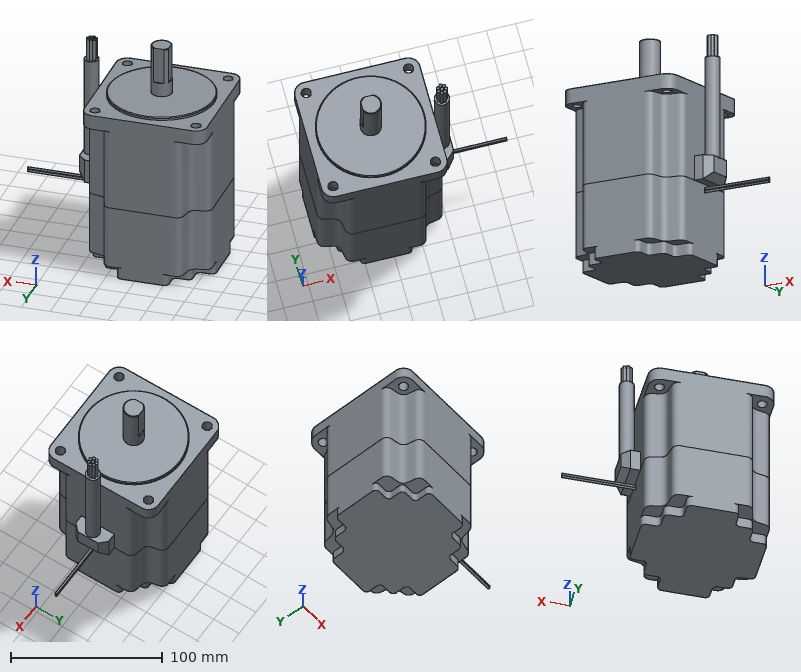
import cadquery as cq
import math

FRAME_WIDTH = 85.0
HALF_WIDTH = FRAME_WIDTH / 2
FLANGE_CORNER_RADIUS = 8.0

FOOT_TOP = 8.1
SEAM_HEIGHT = 51.8
FLANGE_BOTTOM = 108.4
FLANGE_TOP = 118.5
PILOT_TOP = 120.5
SHAFT_TOP = 155.5

HOLE_SPACING = 69.7
HOLE_DIAMETER = 6.5

NOTCH_MOUTH = 15.9
NOTCH_TILT = 11.0
NOTCH_OUTER_RADIUS = 5.0
NOTCH_INNER_RADIUS = 5.6

STEP_SIZE = 12.5
STEP_COUNT = 2
STEP_RADIUS = 3.1

PILOT_DIAMETER = 73.0
PILOT_CHAMFER = 0.6
SHAFT_DIAMETER = 14.0
SHAFT_CHAMFER = 0.5
FLAT_DEPTH = 1.0
FLAT_BOTTOM = 130.3

GLAND_LENGTH = 11.8
GLAND_WIDTH = 26.1
GLAND_TOP = 68.3
GLAND_CHAMFER = 5.1
CABLE_X = HALF_WIDTH + GLAND_LENGTH / 2
CABLE_DIAMETER = 10.0
CABLE_TOP = 137.5
CORE_DIAMETER = 2.2
CORE_PITCH_RADIUS = 2.6
CORE_RING_COUNT = 7
CORE_RING_START = -5.0
CORE_TOP = 152.4

WIRE_DIAMETER = 1.5
WIRE_SPACING = 2.0
WIRE_CENTRE_HEIGHT = 47.9
WIRE_COUNT = 2
WIRE_LENGTH = 49.9


def square_prism(bottom, top):
    """Square block with the full frame width."""
    return (
        cq.Workplane("XY", origin=(0, 0, bottom))
        .rect(FRAME_WIDTH, FRAME_WIDTH)
        .extrude(top - bottom)
    )


def cut_four_corners(body, cutter):
    """Remove the cutter, made for the -X -Y corner, from all four corners."""
    for turn in range(4):
        body = body.cut(cutter.rotate((0, 0, 0), (0, 0, 1), 90 * turn))
    return body


def cylinder(x, y, bottom, top, diameter):
    return cq.Workplane("XY", origin=(x, y, bottom)).circle(diameter / 2).extrude(top - bottom)


def corner_outline(points, bottom):
    """Closed outline; the points are distances in from the -X and -Y faces."""
    return (
        cq.Workplane("XY", origin=(-HALF_WIDTH, -HALF_WIDTH, bottom))
        .polyline(points)
        .close()
    )


def frame_section(bottom, top):
    """Frame length with a rounded notch in every corner."""
    notch_depth = NOTCH_MOUTH / (1 + math.tan(math.radians(NOTCH_TILT)))
    outline = [(0, 0), (NOTCH_MOUTH, 0), (notch_depth, notch_depth), (0, NOTCH_MOUTH)]
    notch = corner_outline(outline, bottom).extrude(top - bottom)
    frame = cut_four_corners(square_prism(bottom, top), notch)

    inner_distance = math.sqrt(2) * (HALF_WIDTH - notch_depth)

    def is_inner(edge):
        centre = edge.Center()
        return abs(math.hypot(centre.x, centre.y) - inner_distance) < 0.02

    vertical_edges = frame.edges("|Z").vals()
    inner_edges = [edge for edge in vertical_edges if is_inner(edge)]
    outer_edges = [edge for edge in vertical_edges if not is_inner(edge)]
    rounded = frame.val().fillet(NOTCH_INNER_RADIUS, inner_edges)
    return cq.Workplane(rounded.fillet(NOTCH_OUTER_RADIUS, outer_edges))


def foot():
    """Rear end with stair-stepped, rounded corners."""
    run = STEP_COUNT * STEP_SIZE
    outline = [(0, 0), (0, run)]
    for step in range(1, STEP_COUNT + 1):
        across = step * STEP_SIZE
        outline.append((across, run - across + STEP_SIZE))
        outline.append((across, run - across))
    steps = corner_outline(outline, 0).extrude(FOOT_TOP)
    return cut_four_corners(square_prism(0, FOOT_TOP), steps).edges("|Z").fillet(STEP_RADIUS)


def flange():
    return (
        square_prism(FLANGE_BOTTOM, FLANGE_TOP)
        .edges("|Z")
        .fillet(FLANGE_CORNER_RADIUS)
        .faces(">Z")
        .workplane()
        .rect(HOLE_SPACING, HOLE_SPACING, forConstruction=True)
        .vertices()
        .hole(HOLE_DIAMETER)
    )


def pilot():
    disc = cylinder(0, 0, FLANGE_TOP, PILOT_TOP, PILOT_DIAMETER)
    return disc.faces(">Z").edges().chamfer(PILOT_CHAMFER)


def shaft():
    """Output shaft with two flats at right angles, on its -X and +Y sides."""
    rod = cylinder(0, 0, PILOT_TOP, SHAFT_TOP, SHAFT_DIAMETER)
    rod = rod.faces(">Z").edges().chamfer(SHAFT_CHAMFER)
    flat_distance = SHAFT_DIAMETER / 2 - FLAT_DEPTH
    flat_cutter = (
        cq.Workplane("XY", origin=(-flat_distance - SHAFT_DIAMETER / 2, 0, FLAT_BOTTOM))
        .rect(SHAFT_DIAMETER, 2 * SHAFT_DIAMETER)
        .extrude(SHAFT_TOP - FLAT_BOTTOM)
    )
    second_cutter = flat_cutter.rotate((0, 0, 0), (0, 0, 1), -90)
    return rod.cut(flat_cutter).cut(second_cutter)


def gland():
    """Cable block with its outer upright edges and outer lower edge chamfered."""
    block = (
        cq.Workplane("XY", origin=(HALF_WIDTH + GLAND_LENGTH / 2, 0, SEAM_HEIGHT))
        .rect(GLAND_LENGTH, GLAND_WIDTH)
        .extrude(GLAND_TOP - SEAM_HEIGHT)
    )
    block = block.edges("|Z and >X").chamfer(GLAND_CHAMFER)
    lower_corner = (
        cq.Workplane("XZ", origin=(HALF_WIDTH + GLAND_LENGTH, 0, SEAM_HEIGHT))
        .polyline([(0, 0), (-GLAND_CHAMFER, 0), (0, GLAND_CHAMFER)])
        .close()
        .extrude(GLAND_WIDTH / 2, both=True)
    )
    return block.cut(lower_corner)


def power_cable():
    """Sheathed cable with a ring of bare cores around a central one."""
    cable = cylinder(CABLE_X, 0, GLAND_TOP, CABLE_TOP, CABLE_DIAMETER)
    cable = cable.union(cylinder(CABLE_X, 0, CABLE_TOP, CORE_TOP, CORE_DIAMETER))
    for index in range(CORE_RING_COUNT):
        angle = math.radians(CORE_RING_START + 360 * index / CORE_RING_COUNT)
        x = CABLE_X + CORE_PITCH_RADIUS * math.cos(angle)
        y = CORE_PITCH_RADIUS * math.sin(angle)
        cable = cable.union(cylinder(x, y, CABLE_TOP, CORE_TOP, CORE_DIAMETER))
    return cable


def signal_wire(index):
    height = WIRE_CENTRE_HEIGHT + (index - (WIRE_COUNT - 1) / 2) * WIRE_SPACING
    return (
        cq.Workplane("YZ", origin=(HALF_WIDTH, 0, height))
        .circle(WIRE_DIAMETER / 2)
        .extrude(WIRE_LENGTH)
    )


def make_motor():
    """Front body: frame, flange, pilot, shaft and power cable."""
    body = frame_section(SEAM_HEIGHT, FLANGE_BOTTOM)
    for feature in (flange(), pilot(), shaft(), gland(), power_cable()):
        body = body.union(feature)
    return body


def make_rear_housing():
    """Rear body: frame, stepped foot and signal wires."""
    body = frame_section(FOOT_TOP, SEAM_HEIGHT).union(foot())
    for index in range(WIRE_COUNT):
        body = body.union(signal_wire(index))
    return body


motor = make_motor()
rear_housing = make_rear_housing()
result = cq.Compound.makeCompound([motor.val(), rear_housing.val()])